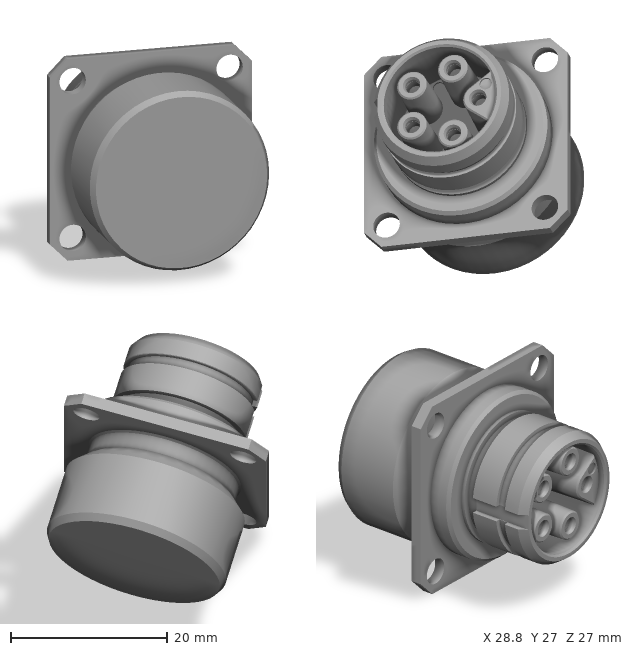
import cadquery as cq
import math


nose_chamfer_end = 1.15
groove_1_start = 3.4
groove_1_end = 4.75
groove_2_start = 8.6
groove_2_end = 10.02
shoulder_start = 10.5
flange_start = 13.5
flange_end = 15.0
neck_end = 17.35
rear_chamfer_start = 27.85
total_length = 28.8

front_radius = 9.0
nose_radius = 8.2
groove_1_radius = 8.32
groove_2_radius = 8.1
collar_radius = 8.93
shoulder_radius = 11.5
shoulder_chamfer = 0.43
neck_radius = 9.96
rear_radius = 11.98
rear_end_radius = 11.43
groove_edge_chamfer = 0.1
neck_root_chamfer = 0.25
cone_end = neck_end + rear_radius - neck_radius

flange_size = 27.0
flange_corner_chamfer = 2.33
mount_hole_spacing = 20.97
mount_hole_diameter = 3.5

keyway_width = 2.1
keyway_floor = 8.18

bore_radius = 7.4
mouth_radius = 7.65
mouth_chamfer_length = 0.25
floor_depth = 8.65
floor_rim_width = 0.2

contact_count = 5
contact_pitch_radius = 4.85
tip_depth = 1.0
sleeve_base_radius = 2.15
sleeve_tip_radius = 1.95
sleeve_chamfer = 0.2
contact_mouth_radius = 1.15
contact_entry_radius = 0.95
contact_bore_radius = 0.92
contact_mouth_length = 0.43
contact_entry_depth = 0.95
contact_bore_depth = 2.3

wedge_half_angle = 36.5
wedge_reach = 5.75

mark_radius = 0.8
mark_depth = 0.3
mark_pitch_radius = 6.2
floor_mark_angles = [-111.5, -39.5, 39.5, 111.5]
wedge_mark_angle = 17.5

sleeve_length = floor_depth - tip_depth
sleeve_taper = math.degrees(math.atan2(sleeve_base_radius - sleeve_tip_radius, sleeve_length))


def facing_plug(x):
    """Plane across the axis at x, with local x along -Y and its normal toward the plug face."""
    return cq.Workplane(cq.Plane(origin=(x, 0, 0), xDir=(0, -1, 0), normal=(-1, 0, 0)))


def revolve_about_axis(points):
    """Solid of revolution about X from a closed list of (x, radius) points."""
    return cq.Workplane("XY").polyline(points).close().revolve(360, (0, 0, 0), (1, 0, 0))


def polar(radius, angle):
    """Point at an angle measured from -Y toward +Z."""
    return radius * math.cos(math.radians(angle)), radius * math.sin(math.radians(angle))


def make_body():
    return revolve_about_axis([
        (0, 0),
        (0, nose_radius),
        (nose_chamfer_end, front_radius),
        (groove_1_start - groove_edge_chamfer, front_radius),
        (groove_1_start, front_radius - groove_edge_chamfer),
        (groove_1_start, groove_1_radius),
        (groove_1_end, groove_1_radius),
        (groove_1_end, front_radius),
        (groove_2_start, front_radius),
        (groove_2_start, groove_2_radius),
        (groove_2_end, groove_2_radius),
        (groove_2_end, collar_radius),
        (shoulder_start, collar_radius),
        (shoulder_start, shoulder_radius - shoulder_chamfer),
        (shoulder_start + shoulder_chamfer, shoulder_radius),
        (flange_end, shoulder_radius),
        (flange_end, neck_radius + neck_root_chamfer),
        (flange_end + neck_root_chamfer, neck_radius),
        (neck_end, neck_radius),
        (cone_end, rear_radius),
        (rear_chamfer_start, rear_radius),
        (total_length, rear_end_radius),
        (total_length, 0),
    ])


def make_flange():
    return (
        facing_plug(flange_end)
        .rect(flange_size, flange_size)
        .extrude(flange_end - flange_start)
        .edges("|X")
        .chamfer(flange_corner_chamfer)
        .faces("<X")
        .workplane(origin=(0, 0, 0))
        .rect(mount_hole_spacing, mount_hole_spacing, forConstruction=True)
        .vertices()
        .hole(mount_hole_diameter)
    )


def make_keyway():
    return (
        cq.Workplane("XY", origin=(0, keyway_floor, 0))
        .box(groove_2_start, front_radius - keyway_floor, keyway_width, centered=(False, False, True))
    )


def make_socket():
    """Bore with a chamfered mouth and a bevelled rim around its floor."""
    return revolve_about_axis([
        (0, 0),
        (0, mouth_radius),
        (mouth_chamfer_length, bore_radius),
        (floor_depth + floor_rim_width, bore_radius),
        (floor_depth, bore_radius - floor_rim_width),
        (floor_depth, 0),
    ])


def move_to_contact(solid, angle):
    """Shift a solid from the main axis to the contact at the given angle."""
    across, up = polar(contact_pitch_radius, angle)
    return solid.translate((0, -across, up))


def make_sleeve(angle):
    profile = [
        (tip_depth, 0),
        (tip_depth, sleeve_tip_radius - sleeve_chamfer),
        (tip_depth + sleeve_chamfer, sleeve_tip_radius),
        (floor_depth, sleeve_base_radius),
        (floor_depth, 0),
    ]
    return move_to_contact(revolve_about_axis(profile), angle)


def make_wedge():
    """Sleeve-nosed wedge whose straight flanks open out to the bore wall."""
    tangent_across, tangent_up = polar(sleeve_base_radius, 90 + wedge_half_angle)
    reach_across, reach_up = polar(wedge_reach, wedge_half_angle)
    wedge = (
        facing_plug(floor_depth)
        .center(contact_pitch_radius, 0)
        .moveTo(tangent_across + reach_across, tangent_up + reach_up)
        .lineTo(tangent_across, tangent_up)
        .threePointArc((-sleeve_base_radius, 0), (tangent_across, -tangent_up))
        .lineTo(tangent_across + reach_across, -tangent_up - reach_up)
        .close()
        .extrude(sleeve_length, taper=sleeve_taper)
        .faces("<X")
        .chamfer(sleeve_chamfer)
    )
    envelope = facing_plug(floor_depth).circle(bore_radius).extrude(sleeve_length)
    return wedge.intersect(envelope.faces("<X").chamfer(sleeve_chamfer))


def make_contact_bore(angle):
    """Tapered mouth and short round entry leading into a blind, slightly narrower bore."""
    mouth_end = tip_depth + contact_mouth_length
    entry_end = tip_depth + contact_entry_depth
    bore_end = tip_depth + contact_bore_depth
    profile = [
        (tip_depth, 0),
        (tip_depth, contact_mouth_radius),
        (mouth_end, contact_entry_radius),
        (entry_end, contact_entry_radius),
        (entry_end, contact_bore_radius),
        (bore_end, contact_bore_radius),
        (bore_end, 0),
    ]
    return move_to_contact(revolve_about_axis(profile), angle)


def make_mark(surface_x, angle):
    return (
        facing_plug(surface_x + mark_depth)
        .center(*polar(mark_pitch_radius, angle))
        .circle(mark_radius)
        .extrude(mark_depth)
    )


contact_angles = [360 / contact_count * i for i in range(contact_count)]

result = make_body().union(make_flange()).cut(make_keyway()).cut(make_socket()).union(make_wedge())
for contact_angle in contact_angles[1:]:
    result = result.union(make_sleeve(contact_angle))
for contact_angle in contact_angles:
    result = result.cut(make_contact_bore(contact_angle))
for mark_angle in floor_mark_angles:
    result = result.cut(make_mark(floor_depth, mark_angle))
result = result.cut(make_mark(tip_depth, wedge_mark_angle))